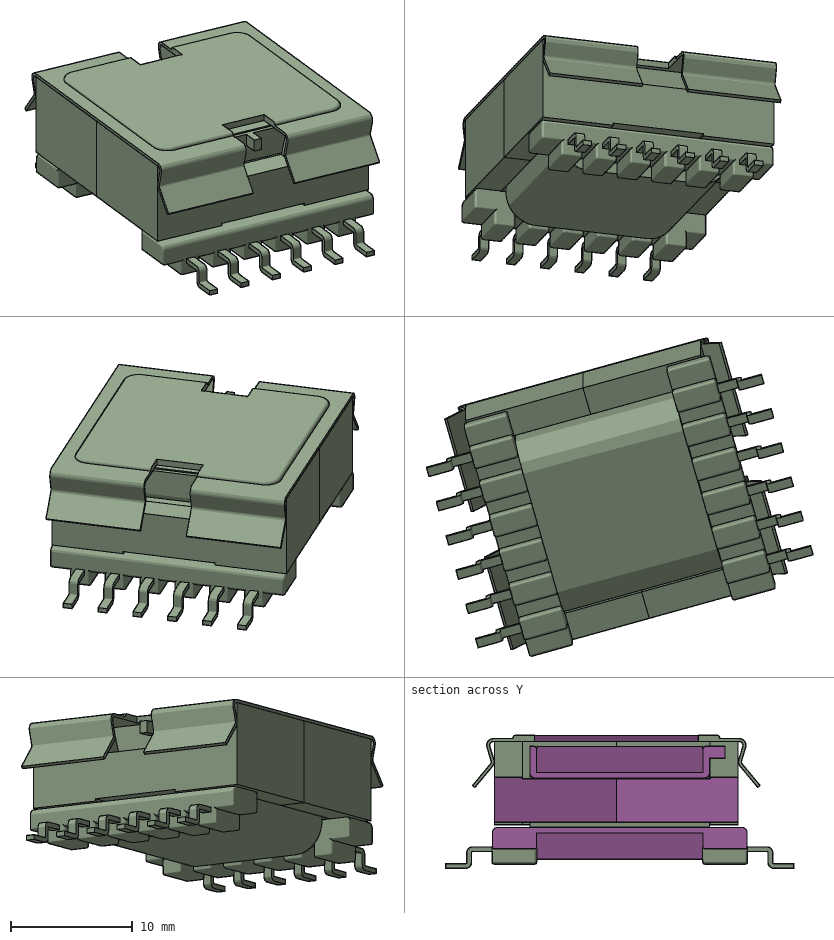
import cadquery as cq
import math


core_x = -0.28
core_width = 20.0
half_length = 10.0
core_bottom = 3.58
core_height = 6.82
core_top = core_bottom + core_height
back_wall = 2.3
window_width = 15.4
post_width = 8.9
post_height = 3.6
underside_recess_width = 7.82
underside_recess_depth = 0.19
notch_floor_width = 6.1
notch_top_width = 7.5
notch_floor = 7.48

sheet = 0.26
clip_top = core_top + sheet
clip_notch_width = 3.95
clip_notch_inner_x = 6.73
shoulder_x = 10.66
contact_x = 10.098
contact_z = 8.65
leg_tip_x = 11.70
leg_tip_z = 6.72
shoulder_radius = 0.3
contact_radius = 0.3
panel_length = 17.0
panel_width = 17.5
overall_height = 10.93
panel_height = overall_height - clip_top
panel_corner_radius = 1.3
panel_edge_radius = 0.25

bobbin_y = 0.1
bar_inner_x = 6.81
bar_outer_x = 10.48
bar_width = 20.0
bar_top = 3.39
bar_bottom = 1.61
bar_top_radius = 0.5
edge_radius = 0.19
foot_width = 1.77
foot_bottom = 0.34
flange_outer_x = 7.38
flange_width = 14.72
flange_top = 10.03
flange_edge_radius = 0.27
bore_width = 9.24
bore_bottom = bar_top
bore_top = 7.4
bore_edge_radius = 0.46
tube_wall = 0.5
tab_tip_x = 8.65
tab_width = 0.67
tab_thickness = 1.0

pins_per_side = 6
pin_pitch = 2.97
pin_width = 0.75
pin_thickness = 0.4
pin_tip_x = 14.28
pin_drop_x = 12.36
pin_root_x = 8.0
pin_exit_z = 1.57
pin_bend_radius = 0.08

winding_bottom = 0.73
winding_corner_radius = 2.56


def box(x_range, y_range, z_range):
    """Box between the given limits along each axis."""
    sizes = [high - low for low, high in (x_range, y_range, z_range)]
    corner = (x_range[0], y_range[0], z_range[0])
    return cq.Workplane("XY").box(*sizes, centered=False).translate(corner)


def span(width, centre=0.0):
    """Limits of a width about a centre."""
    return centre - width / 2, centre + width / 2


def offset_points(path, distance):
    """Points of an XZ path moved sideways by a distance, mitred at the bends."""
    directions = [
        math.atan2(end[1] - start[1], end[0] - start[0])
        for start, end in zip(path, path[1:])
    ]
    incoming = directions[:1] + directions
    outgoing = directions + directions[-1:]
    points = []
    for (x, z), before, after in zip(path, incoming, outgoing):
        normal = (before + after) / 2 + math.pi / 2
        reach = distance / math.cos((after - before) / 2)
        points.append((x + reach * math.cos(normal), z + reach * math.sin(normal)))
    return points


def bent_strip(path, thickness, width, centre_y, bend_radii):
    """Strip of sheet following an XZ centreline, with the given inside radius at each bend."""
    left = offset_points(path, thickness / 2)
    right = offset_points(path, -thickness / 2)
    strip = (
        cq.Workplane("XZ", origin=(0, centre_y, 0))
        .polyline(left + right[::-1])
        .close()
        .extrude(width / 2, both=True)
    )
    for index, inside_radius in enumerate(bend_radii, start=1):
        previous, bend, following = path[index - 1:index + 2]
        turn = (bend[0] - previous[0]) * (following[1] - bend[1])
        turn -= (bend[1] - previous[1]) * (following[0] - bend[0])
        inside, outside = (left, right) if turn > 0 else (right, left)
        for corner, radius in (
            (inside[index], inside_radius),
            (outside[index], inside_radius + thickness),
        ):
            nearest = cq.selectors.NearestToPointSelector((corner[0], centre_y, corner[1]))
            strip = strip.edges(nearest).fillet(radius)
    return strip


def make_core_half():
    """Half of the core on the +X side, with its mating faces at X = 0."""
    inner_wall_x = half_length - back_wall
    core = box((0, half_length), span(core_width), (core_bottom, core_top))
    core = core.cut(box((0, inner_wall_x), span(window_width), (core_bottom, core_top)))
    post_bottom = core_bottom + underside_recess_depth
    core = core.union(box((0, inner_wall_x), span(post_width), (post_bottom, post_bottom + post_height)))
    core = core.cut(box((0, half_length), span(underside_recess_width), (core_bottom, post_bottom)))
    notch = (
        cq.Workplane("YZ", origin=(inner_wall_x, 0, 0))
        .polyline([
            (-notch_floor_width / 2, notch_floor),
            (notch_floor_width / 2, notch_floor),
            (notch_top_width / 2, core_top),
            (-notch_top_width / 2, core_top),
        ])
        .close()
        .extrude(back_wall)
    )
    return core.cut(notch)


def make_clip():
    """Spring clip: flat top with a raised panel, and sprung legs beside a notch at each end."""
    sheet_middle = core_top + sheet / 2
    side_path = [
        (0, sheet_middle),
        (shoulder_x, sheet_middle),
        (contact_x, contact_z),
        (leg_tip_x, leg_tip_z),
    ]
    side = bent_strip(side_path, sheet, core_width, 0, [shoulder_radius, contact_radius])
    panel = (
        cq.Workplane("XY", origin=(0, 0, clip_top))
        .rect(panel_length, panel_width)
        .extrude(panel_height)
        .edges("|Z").fillet(panel_corner_radius)
        .faces(">Z").edges().fillet(panel_edge_radius)
    )
    clip = side.union(side.mirror("YZ")).union(panel)
    notch = box(
        (clip_notch_inner_x, leg_tip_x + sheet),
        span(clip_notch_width),
        (leg_tip_z - sheet, overall_height),
    )
    return clip.cut(notch).cut(notch.mirror("YZ")).translate((core_x, 0, 0))


def pin_positions():
    """Y positions of the pins along one bar, about the bobbin centre."""
    return [(index - (pins_per_side - 1) / 2) * pin_pitch for index in range(pins_per_side)]


def make_pin(y):
    """Gull-wing pin on the +X side."""
    foot_z = pin_thickness / 2
    path = [
        (pin_root_x, pin_exit_z),
        (pin_drop_x, pin_exit_z),
        (pin_drop_x, foot_z),
        (pin_tip_x, foot_z),
    ]
    return bent_strip(path, pin_thickness, pin_width, y, [pin_bend_radius] * 2)


def make_bar():
    """Terminal bar on the +X side, with a foot around every pin and rounded edges."""
    bar_x = (bar_inner_x, bar_outer_x)
    bar = box(bar_x, span(bar_width), (bar_bottom, bar_top))
    for y in pin_positions():
        bar = bar.union(box(bar_x, span(foot_width, y), (foot_bottom, bar_top)))
    bar = bar.edges("|Y and >X and >Z").fillet(bar_top_radius)
    rounded = bar.faces(">X or <X").edges("not >Z")
    rounded = rounded.add(bar.faces(">Y or <Y").edges())
    rounded = rounded.add(bar.edges("|X and <Z"))
    return bar.newObject(rounded.vals()).fillet(edge_radius)


def make_bore():
    """Through space for the core's centre post."""
    return box(span(2 * flange_outer_x), span(bore_width), (bore_bottom, bore_top))


def make_tube():
    """Tube between the flanges around the centre post."""
    outer = box(
        span(2 * bar_inner_x),
        span(bore_width + 2 * tube_wall),
        (bore_bottom - tube_wall, bore_top + tube_wall),
    )
    return outer.cut(make_bore())


def make_flange():
    """Flange on the +X side, standing on the bar and open around the centre post."""
    flange_x = (bar_inner_x, flange_outer_x)
    flange = box(flange_x, span(flange_width), (bar_top - bar_top_radius, flange_top))
    flange = flange.cut(make_bore())
    bore_rim = cq.selectors.NearestToPointSelector((flange_outer_x, 0, bore_top))
    flange = flange.edges(bore_rim).fillet(bore_edge_radius)
    return flange.edges("<X and >Z").fillet(flange_edge_radius)


def make_bobbin():
    """Bobbin moulded around its pins, with a marker tab on the +X flange."""
    side = make_bar().union(make_flange())
    for y in pin_positions():
        side = side.union(make_pin(y))
    tab = box((flange_outer_x, tab_tip_x), span(tab_width), (flange_top - tab_thickness, flange_top))
    return side.union(side.mirror("YZ")).union(make_tube()).union(tab)


def make_winding():
    """Round-cornered coil filling the space between the flanges."""
    coil = box(span(2 * bar_inner_x), span(flange_width), (winding_bottom, flange_top))
    coil = coil.edges("|X").fillet(winding_corner_radius)
    return coil.cut(make_tube()).cut(make_bore())


core_right = make_core_half().translate((core_x, 0, 0))
core_left = make_core_half().mirror("YZ").translate((core_x, 0, 0))
clip = make_clip()
bobbin = make_bobbin().translate((0, bobbin_y, 0))
winding = make_winding().translate((0, bobbin_y, 0))

result = cq.Compound.makeCompound([
    core_right.val(),
    core_left.val(),
    clip.val(),
    bobbin.val(),
    winding.val(),
])